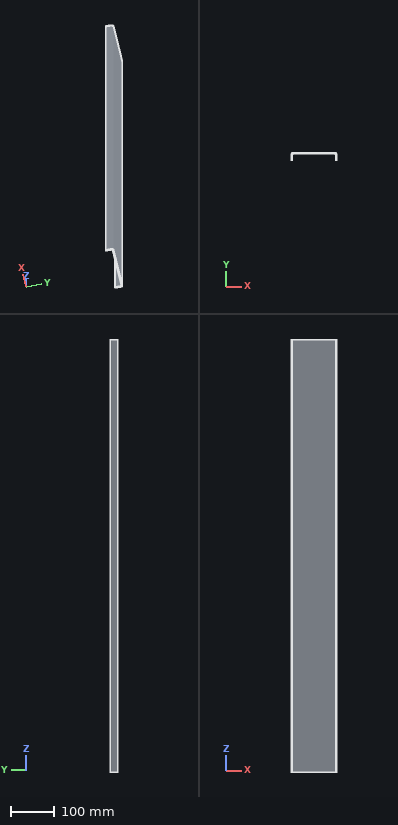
import cadquery as cq

width = 105.0
depth = 18.0
length = 1000.0

thickness = 2.5
inner_radius = thickness
outer_radius = inner_radius + thickness


def upright_box(size_x, size_y):
    """Full-length block with its -Y face on Y = 0."""
    return cq.Workplane("XY").box(size_x, size_y, length, centered=(True, False, True))


def round_back_edges(block, radius):
    """Round the two upright edges on the +Y side."""
    return block.faces(">Y").edges("|Z").fillet(radius)


outside = round_back_edges(upright_box(width, depth), outer_radius)
inside = round_back_edges(upright_box(width - 2 * thickness, depth - thickness), inner_radius)

result = outside.cut(inside)